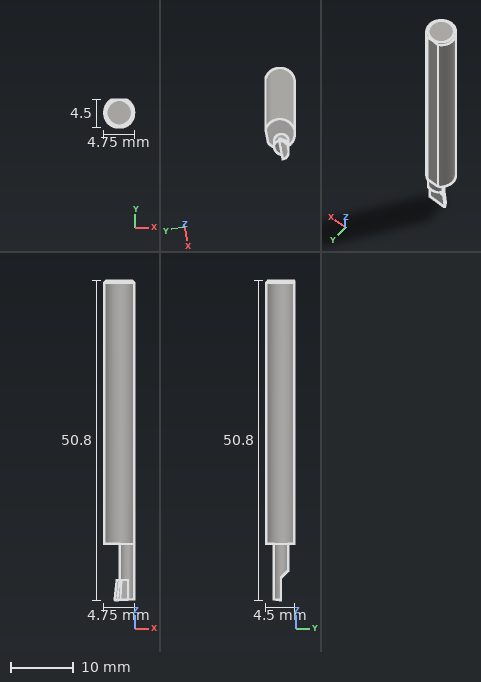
import cadquery as cq

total_length = 50.8
shank_diameter = 4.75
shank_radius = shank_diameter / 2
shank_depth = 4.5
flat_y = shank_depth - shank_radius
shank_bottom = 9.0
end_chamfer = 0.35

neck_radius = 1.15
neck_x = shank_radius - neck_radius

ramp_top = 4.7
ramp_bottom = 3.6

head_height = 3.25
head_lean = 0.35
edge_top_x = -0.4
heel_top_x = 0.05
heel_y = -0.8
land_top_x = 0.35
land_y = -neck_radius
land_end_x = 1.35
tip_rise = 0.15
corner_width = 0.2
corner_height = 0.15


def make_shank():
    length = total_length - shank_bottom
    shank = cq.Workplane("XY").workplane(offset=shank_bottom).circle(shank_radius).extrude(length)
    shank = shank.faces(">Z").chamfer(end_chamfer)
    flat_cutter = cq.Workplane("XY").box(
        shank_diameter, shank_diameter, total_length, centered=(True, False, False)
    ).translate((0, flat_y, 0))
    return shank.cut(flat_cutter)


def make_neck():
    neck = cq.Workplane("XY").center(neck_x, 0).circle(neck_radius).extrude(shank_bottom)
    relief = (
        cq.Workplane("YZ")
        .polyline([(0, 0), (0, ramp_bottom), (neck_radius, ramp_top), (neck_radius, 0)])
        .close()
        .extrude(shank_diameter, both=True)
    )
    return neck.cut(relief)


def head_outline(lean):
    return [
        (edge_top_x - lean, 0),
        (heel_top_x - lean, heel_y),
        (land_top_x - lean / 2, land_y),
        (land_end_x, land_y),
        (land_end_x, 0),
    ]


def make_head():
    return (
        cq.Workplane("XY")
        .polyline(head_outline(head_lean)).close()
        .workplane(offset=head_height)
        .polyline(head_outline(0)).close()
        .loft(ruled=True)
    )


def sharpen_tip(blade):
    edge_x = edge_top_x - head_lean
    low_x = edge_x + corner_width
    end_cutter = (
        cq.Workplane("YZ")
        .polyline([(0, 0), (-neck_radius, 0), (-neck_radius, tip_rise)])
        .close()
        .extrude(shank_diameter, both=True)
    )
    edge_cutter = (
        cq.Workplane("XZ")
        .polyline([(low_x, 0), (shank_radius, tip_rise), (shank_radius, 0)])
        .close()
        .extrude(shank_diameter, both=True)
    )
    corner_cutter = (
        cq.Workplane("XZ")
        .polyline([(edge_x, 0), (edge_x, corner_height), (low_x, 0)])
        .close()
        .extrude(shank_diameter, both=True)
    )
    return blade.cut(end_cutter).cut(edge_cutter).cut(corner_cutter)


result = make_shank().union(sharpen_tip(make_neck().union(make_head())))